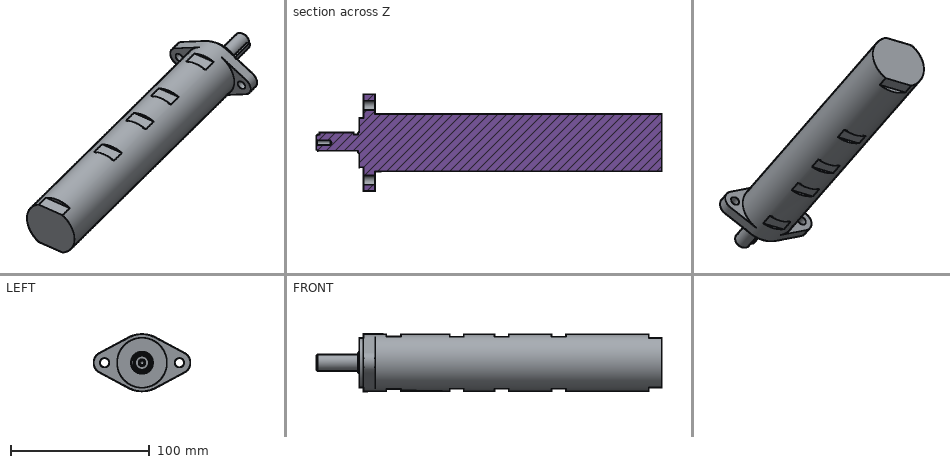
import cadquery as cq
import math


shaft_dia = 12.0
shaft_tip_chamfer = 1.0
center_hole_dia = 3.24
center_hole_depth = 10.0
countersink_dia = 5.0
drill_point_angle = 118.0

key_width = 4.0
key_height = 4.0
key_length = 25.0
key_start = 2.2
key_top = 7.5

collar_start = 30.0
collar_small_dia = 14.0
collar_large_dia = 16.0

pilot_dia = 36.0
pilot_start = 31.0
flange_start = 34.0
flange_thickness = 8.5
flange_span = 69.94
flange_hole_dia = 6.5
flange_hole_spacing = 54.0
flange_end_radius = (flange_span - flange_hole_spacing) / 2

body_dia = 41.5
body_end = 249.2

joint_flat_across = 37.8
rear_flat_start = 239.9
wrench_flats = [
    (50.6, 10.5, 38.0),
    (96.3, 10.0, joint_flat_across),
    (128.6, 10.2, joint_flat_across),
    (169.8, 10.2, joint_flat_across),
    (rear_flat_start, body_end - rear_flat_start, 36.0),
]


def cylinder(diameter, start, end):
    """Cylinder about the X axis between two X positions."""
    return cq.Workplane("YZ").workplane(offset=start).circle(diameter / 2).extrude(end - start)


def cone(start_dia, end_dia, start, end):
    """Truncated or full cone about the X axis between two X positions."""
    profile = [(start, 0), (start, start_dia / 2), (end, end_dia / 2)]
    if end_dia > 0:
        profile.append((end, 0))
    return cq.Workplane("XY").polyline(profile).close().revolve(360, (0, 0, 0), (1, 0, 0))


def make_shaft():
    shaft = cylinder(shaft_dia, 0, pilot_start).faces("<X").chamfer(shaft_tip_chamfer)
    return shaft.union(cone(collar_small_dia, collar_large_dia, collar_start, pilot_start))


def make_center_hole():
    countersink_depth = (countersink_dia - center_hole_dia) / 2
    point_length = center_hole_dia / 2 / math.tan(math.radians(drill_point_angle / 2))
    hole = cylinder(center_hole_dia, 0, center_hole_depth)
    countersink = cone(countersink_dia, center_hole_dia, 0, countersink_depth)
    point = cone(center_hole_dia, 0, center_hole_depth, center_hole_depth + point_length)
    return hole.union(countersink).union(point)


def make_key():
    return (
        cq.Workplane("XZ", origin=(key_start + key_length / 2, key_top, 0))
        .slot2D(key_length, key_width)
        .extrude(key_height)
    )


def make_flange():
    """Rhombic flange: sides tangent to the body circle and to both rounded ends."""
    body_radius = body_dia / 2
    center_y = flange_hole_spacing / 2
    cos_t = (body_radius - flange_end_radius) / center_y
    sin_t = math.sqrt(1 - cos_t**2)
    body_y = body_radius * cos_t
    body_z = body_radius * sin_t
    end_y = center_y + flange_end_radius * cos_t
    end_z = flange_end_radius * sin_t
    tip_y = flange_span / 2
    return (
        cq.Workplane("YZ", origin=(flange_start, 0, 0))
        .moveTo(body_y, body_z)
        .threePointArc((0, body_radius), (-body_y, body_z))
        .lineTo(-end_y, end_z)
        .threePointArc((-tip_y, 0), (-end_y, -end_z))
        .lineTo(-body_y, -body_z)
        .threePointArc((0, -body_radius), (body_y, -body_z))
        .lineTo(end_y, -end_z)
        .threePointArc((tip_y, 0), (end_y, end_z))
        .close()
        .pushPoints([(-center_y, 0), (center_y, 0)])
        .circle(flange_hole_dia / 2)
        .extrude(flange_thickness)
    )


def cut_flats(body, start, length, across):
    """Mill one flat on the top and one on the bottom of the body."""
    for side in (1, -1):
        cutter = cq.Workplane("XY").box(length, body_dia, body_dia)
        cutter = cutter.translate((start + length / 2, 0, side * (across + body_dia) / 2))
        body = body.cut(cutter)
    return body


def make_body():
    body = cylinder(body_dia, flange_start, body_end)
    for flat in wrench_flats:
        body = cut_flats(body, *flat)
    return body


pilot = cylinder(pilot_dia, pilot_start, flange_start)

result = (
    make_body()
    .union(make_flange())
    .union(pilot)
    .union(make_shaft())
    .union(make_key())
    .cut(make_center_hole())
)